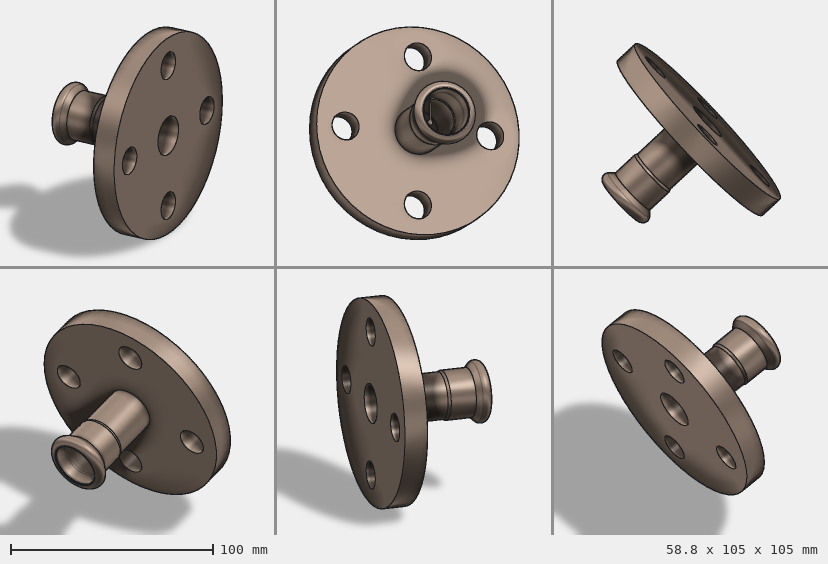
import cadquery as cq
import math

length = 58.8
flange_diameter = 105.0
flange_thickness = 11.9
flange_face = length - flange_thickness
bolt_hole_diameter = 14.0
bolt_circle_radius = 37.5
bolt_count = 4

pipe_radius = 23.8 / 2
pipe_bore_radius = 20.9 / 2
flange_bore_radius = 20.0 / 2
socket_radius = 25.1 / 2
socket_bore_radius = 22.2 / 2
shoulder_start = 21.0
shoulder_end = 22.5

mouth_radius = 24.0 / 2
mouth_depth = 0.6
lip_radius = 23.2 / 2
lip_end = 1.5
lead_in_radius = 22.5 / 2
lead_in_end = 6.8
mouth_taper_end = 8.0
bead_round = 3.2
bead_center_radius = 25.3 / 2
bead_radius = bead_center_radius + bead_round
bead_arc_angle = math.radians(40)
bead_cone_start = bead_round + bead_round * math.sin(bead_arc_angle)
bead_cone_radius = bead_center_radius + bead_round * math.cos(bead_arc_angle)
bead_cone_end = 7.9

marker_diameter = 2.8
stem_width = 0.9
marker_thickness = 0.9
marker_gap = 4.2
marker_start = shoulder_end + marker_gap


def make_body_of_revolution():
    """Flange, pipe, socket and bead turned about the X axis."""
    profile = (
        cq.Workplane("XY")
        .moveTo(0, mouth_radius)
        .lineTo(0, bead_center_radius)
        .threePointArc(
            (bead_round, bead_radius),
            (bead_cone_start, bead_cone_radius),
        )
        .lineTo(bead_cone_end, socket_radius)
        .lineTo(shoulder_start, socket_radius)
        .lineTo(shoulder_end, pipe_radius)
        .lineTo(flange_face, pipe_radius)
        .lineTo(flange_face, flange_diameter / 2)
        .lineTo(length, flange_diameter / 2)
        .lineTo(length, flange_bore_radius)
        .lineTo(flange_face, flange_bore_radius)
        .lineTo(flange_face, pipe_bore_radius)
        .lineTo(shoulder_start, pipe_bore_radius)
        .lineTo(shoulder_start, socket_bore_radius)
        .lineTo(mouth_taper_end, socket_bore_radius)
        .lineTo(lead_in_end, lead_in_radius)
        .lineTo(lip_end, lip_radius)
        .lineTo(mouth_depth, lip_radius)
        .lineTo(mouth_depth, mouth_radius)
        .close()
    )
    return profile.revolve(360, (0, 0, 0), (1, 0, 0))


def make_bolt_holes():
    return (
        cq.Workplane("YZ", origin=(flange_face, 0, 0))
        .polarArray(bolt_circle_radius, 0, 360, bolt_count)
        .circle(bolt_hole_diameter / 2)
        .extrude(flange_thickness)
    )


def make_fitting():
    return make_body_of_revolution().cut(make_bolt_holes())


def make_marker():
    """Pin and stem of equal thickness; the stem end follows the bore wall."""
    plane = cq.Workplane("YZ", origin=(marker_start, 0, 0))
    pin = plane.circle(marker_diameter / 2).extrude(marker_thickness)
    stem = (
        plane.rect(stem_width, 2 * pipe_bore_radius)
        .extrude(marker_thickness)
        .intersect(plane.circle(pipe_bore_radius).extrude(marker_thickness))
    )
    upper_half = cq.Workplane("XY").box(
        2 * length, flange_diameter, pipe_radius, centered=(True, True, False)
    )
    return pin.union(stem.intersect(upper_half))


fitting = make_fitting()
marker = make_marker()
result = cq.Compound.makeCompound([fitting.val(), marker.val()])